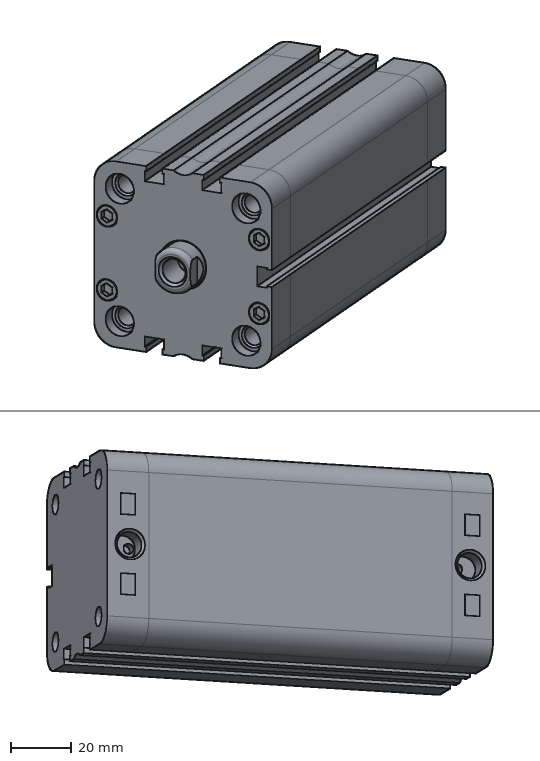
import cadquery as cq
import math


total_length = 143.0
rod_reach = 8.0
housing_length = total_length - rod_reach
cap_length = 14.5
tube_length = housing_length - 2 * cap_length
rear_cap_start = housing_length - cap_length
side = 65.5
half_side = side / 2
corner_radius = 8.0

slot_mouth = 6.0
slot_width = 7.0
slot_depth = 5.5
slot_lip = 1.9
slot_offset = 10.6

groove_width = 6.9
groove_depth = 1.1

mount_offset = 23.3
mount_bore_diameter = 6.6
mount_chamfer_diameter = 8.0
mount_recess_diameter = 10.5
mount_recess_depth = 5.0

screw_offset_x = 28.0
screw_offset_z = 13.0
screw_head_diameter = 7.2
screw_seat_diameter = 7.6
screw_gap_depth = 1.0
hex_across_flats = 4.0
hex_depth = 2.0

port_inset = 8.0
port_mouth_diameter = 10.5
port_diameter = 8.6
port_depth = 8.0
air_hole_diameter = 3.5
air_hole_shift = 2.0
air_hole_depth = 4.0

label_length = 5.1
label_height = 7.2
label_depth = 0.1
label_offset_z = 13.6
label_inset = 7.3

rod_diameter = 16.0
rod_insertion = cap_length
rod_tip_radius = 1.9
rod_gap_diameter = 16.5
rod_gap_mouth_diameter = 17.2
rod_gap_depth = 1.5
flat_width = 13.0
flat_start = 2.7
socket_mouth_diameter = 10.5
socket_diameter = 8.5
socket_depth = 12.9
socket_floor_diameter = 3.5
socket_point_angle = 118

axis = cq.Vector(0, 1, 0)


def cylinder_y(diameter, start, length, x=0.0, z=0.0):
    """Cylinder along +Y that starts at Y = start."""
    base = cq.Vector(x, start, z)
    return cq.Workplane(cq.Solid.makeCylinder(diameter / 2, length, base, axis))


def cone_y(start_diameter, end_diameter, start, length, x=0.0, z=0.0):
    """Truncated cone along +Y that starts at Y = start."""
    base = cq.Vector(x, start, z)
    return cq.Workplane(cq.Solid.makeCone(start_diameter / 2, end_diameter / 2, length, base, axis))


def profile_plane(start):
    """Plane at Y = start with local x along X and local y along Z; extrude by -length towards +Y."""
    return cq.Workplane("XZ", origin=(0, start, 0))


def turned(body, angle):
    """The body turned about the cylinder axis."""
    return body.rotate((0, 0, 0), (0, 1, 0), angle)


def t_slot(shift):
    """T-slot cutter along the whole top side, shifted along X."""
    mouth = profile_plane(0.0).center(shift, half_side - slot_depth / 2).rect(slot_mouth, slot_depth)
    undercut_height = slot_depth - slot_lip
    undercut = profile_plane(0.0).center(shift, half_side - slot_depth + undercut_height / 2)
    undercut = undercut.rect(slot_width, undercut_height)
    return mouth.extrude(-housing_length).union(undercut.extrude(-housing_length))


def groove(start, length):
    """Arc-shaped groove cutter in the top side."""
    edge = groove_width / 2
    profile = profile_plane(start).moveTo(-edge, half_side)
    profile = profile.threePointArc((0, half_side - groove_depth), (edge, half_side))
    return profile.close().extrude(-length)


def section(start, length):
    """Stretch of the rounded square profile with its two grooves."""
    body = profile_plane(start).rect(side, side).extrude(-length).edges("|Y").fillet(corner_radius)
    for angle in (0, 180):
        body = body.cut(turned(groove(start, length), angle))
    return body


def cut_port(cap, end_face, inward):
    """Air port and label recesses of a cap; inward is +1 or -1, the Y direction towards the tube."""
    port_y = end_face + inward * port_inset
    wall = cq.Workplane("YZ", origin=(-half_side, port_y, 0))
    port = wall.circle(port_diameter / 2).extrude(port_depth)
    mouth_depth = (port_mouth_diameter - port_diameter) / 2
    mouth = wall.circle(port_mouth_diameter / 2).workplane(offset=mouth_depth).circle(port_diameter / 2).loft()
    air_hole = wall.center(inward * air_hole_shift, 0).circle(air_hole_diameter / 2)
    air_hole = air_hole.extrude(port_depth + air_hole_depth)
    labels = cq.Workplane("YZ", origin=(-half_side, end_face + inward * label_inset, 0))
    labels = labels.pushPoints([(0, -label_offset_z), (0, label_offset_z)])
    labels = labels.rect(label_length, label_height).extrude(label_depth)
    return cap.cut(port).cut(mouth).cut(air_hole).cut(labels)


def cut_mount(housing, x, z):
    """Mounting bore through the housing, with a recess and a chamfer at its front end."""
    bore = cylinder_y(mount_bore_diameter, 0.0, housing_length, x, z)
    chamfer_length = (mount_chamfer_diameter - mount_bore_diameter) / 2
    recess = cylinder_y(mount_recess_diameter, 0.0, mount_recess_depth, x, z)
    chamfer = cone_y(mount_chamfer_diameter, mount_bore_diameter, mount_recess_depth, chamfer_length, x, z)
    return housing.cut(bore, clean=False).cut(recess, clean=False).cut(chamfer, clean=False)


def cut_screw(cap, x, z):
    """Ring gap around a flush screw head and its hexagon socket."""
    head = cylinder_y(screw_head_diameter, 0.0, screw_gap_depth, x, z)
    gap = cylinder_y(screw_seat_diameter, 0.0, screw_gap_depth, x, z).cut(head)
    corner_diameter = hex_across_flats / math.cos(math.pi / 6)
    hexagon = cq.Workplane("XZ").polygon(6, corner_diameter).extrude(-hex_depth)
    hexagon = turned(hexagon, 90).translate((x, 0, z))
    return cap.cut(gap).cut(hexagon)


def make_front_cap():
    cap = section(0.0, cap_length)
    for sign_x in (-1, 1):
        for sign_z in (-1, 1):
            cap = cut_screw(cap, sign_x * screw_offset_x, sign_z * screw_offset_z)
    cap = cap.cut(cylinder_y(rod_diameter, 0.0, rod_insertion))
    cap = cap.cut(cylinder_y(rod_gap_diameter, 0.0, rod_gap_depth))
    gap_chamfer = (rod_gap_mouth_diameter - rod_gap_diameter) / 2
    cap = cap.cut(cone_y(rod_gap_mouth_diameter, rod_gap_diameter, 0.0, gap_chamfer))
    return cut_port(cap, 0.0, 1)


def make_housing():
    """Front cap, tube and rear cap as one solid; faces stay split where caps and tube meet."""
    tube = section(cap_length, tube_length)
    rear_cap = section(rear_cap_start, cap_length)
    rear_cap = cut_port(rear_cap, housing_length, -1)
    housing = make_front_cap().union(tube, clean=False).union(rear_cap, clean=False)
    housing = housing.cut(turned(t_slot(0.0), 90), clean=False)
    for angle in (0, 180):
        for shift in (-slot_offset, slot_offset):
            housing = housing.cut(turned(t_slot(shift), angle), clean=False)
    for x in (-mount_offset, mount_offset):
        for z in (-mount_offset, mount_offset):
            housing = cut_mount(housing, x, z)
    return housing


def rod_flat():
    """Cutter for the wrench flat on the +X side, with a 45 degree run-out at its rear end."""
    depth = (rod_diameter - flat_width) / 2
    flat_x = flat_width / 2
    outline = [
        (flat_x, -rod_reach),
        (flat_x, -flat_start),
        (flat_x + depth, depth - flat_start),
        (flat_x + depth, -rod_reach),
    ]
    return cq.Workplane("XY").polyline(outline).close().extrude(rod_diameter / 2, both=True)


def make_rod():
    rod = cylinder_y(rod_diameter, -rod_reach, rod_reach + rod_insertion)
    rod = rod.faces("<Y").edges().fillet(rod_tip_radius)
    for angle in (0, 180):
        rod = rod.cut(turned(rod_flat(), angle))
    mouth_depth = (socket_mouth_diameter - socket_diameter) / 2
    point_slope = math.tan(math.radians(socket_point_angle / 2))
    point_length = (socket_diameter - socket_floor_diameter) / 2 / point_slope
    point_start = socket_depth - rod_reach
    rod = rod.cut(cylinder_y(socket_diameter, -rod_reach, socket_depth))
    rod = rod.cut(cone_y(socket_mouth_diameter, socket_diameter, -rod_reach, mouth_depth))
    return rod.cut(cone_y(socket_diameter, socket_floor_diameter, point_start, point_length))


housing = make_housing()
rod = make_rod()

result = cq.Compound.makeCompound([housing.val(), rod.val()])